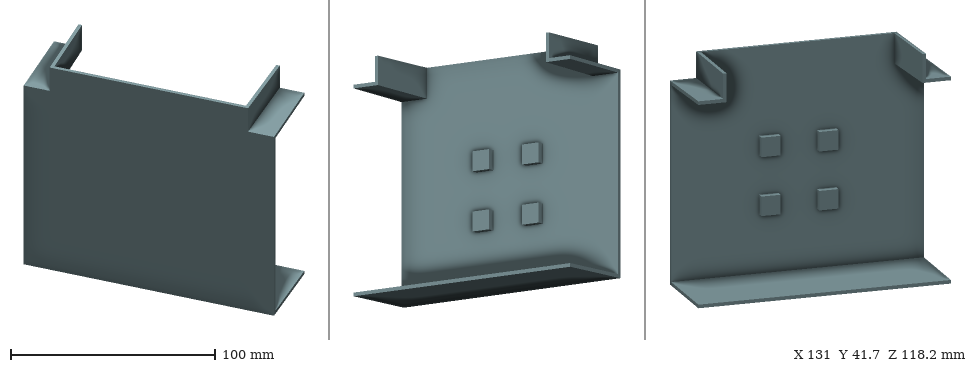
import cadquery as cq
import math

run_length = 131.0
height = 118.2
depth = 41.7
stub = 12.8
wall = 1.8
draft = 1.0

block_side = 10.0
block_height = 3.7
block_spacing = 30.0

channel_width = height - stub
run_center = channel_width / 2
spread = depth * math.tan(math.radians(draft))
wall_across = wall / math.cos(math.radians(draft))


def drafted_bar(plane, inset, front, length):
    """Solid bar of trapezoid section, centred on the plane, local y running to the back."""
    half_back = channel_width / 2 - inset
    half_front = half_back - spread * (depth - front) / depth
    section = [
        (-half_front, front),
        (half_front, front),
        (half_back, depth),
        (-half_back, depth),
    ]
    return cq.Workplane(plane).polyline(section).close().extrude(length)


def tee(inset, front):
    """Run along X joined by a branch that goes from the run's middle to the top."""
    run_plane = cq.Plane(origin=(-run_length / 2, 0, run_center), xDir=(0, 0, -1), normal=(1, 0, 0))
    branch_plane = cq.Plane(origin=(0, 0, run_center), xDir=(1, 0, 0), normal=(0, 0, 1))
    run = drafted_bar(run_plane, inset, front, run_length)
    branch = drafted_bar(branch_plane, inset, front, height - run_center)
    return run.union(branch)


def blocks():
    """Four blocks in a square around the middle of the run, rooted in the front plate."""
    return (
        cq.Workplane("XZ", origin=(0, wall / 2, run_center))
        .rarray(block_spacing, block_spacing, 2, 2)
        .rect(block_side, block_side)
        .extrude(-(wall / 2 + block_height))
    )


shell = tee(0, 0).cut(tee(wall_across, wall))
result = shell.union(blocks())